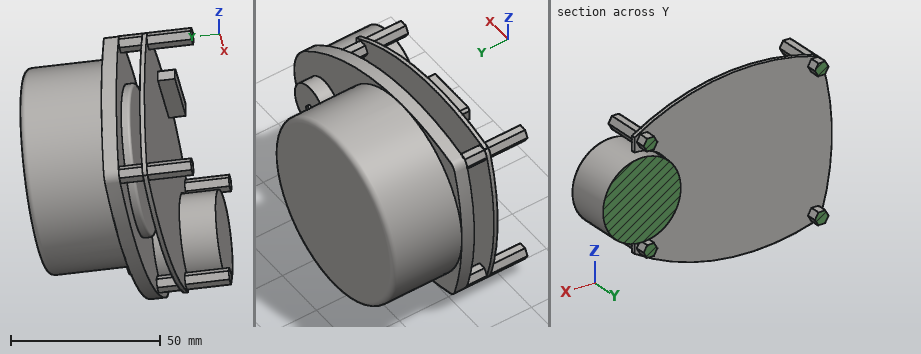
import cadquery as cq
import math


HOUSING_RADIUS = 35.0
HOUSING_LENGTH = 28.0
HOUSING_FILLET = 2.0
HUB_RADIUS = 26.0
HUB_LENGTH = 3.0
HUB_FILLET = 1.0

MOTOR_X = 45.5
MOTOR_RADIUS = 16.0
MOTOR_DEPTH = 27.0
MOTOR_BOSS_RADIUS = 9.0
MOTOR_BOSS_HEIGHT = 6.0
SHAFT_RADIUS = 1.0
SHAFT_PROTRUSION = 1.0

LEFT_ARC_RADIUS = 98.0
LEFT_ARC_CENTRE_X = LEFT_ARC_RADIUS - HOUSING_RADIUS
CORNER_RADIUS = 4.0
NOSE_RADIUS = 18.0
NOSE_TIP_X = MOTOR_X + NOSE_RADIUS
SIDE_ARC_CENTRE_X = -1.5
NOSE_RUN = MOTOR_X - SIDE_ARC_CENTRE_X
SIDE_ARC_RADIUS = (NOSE_RUN**2 + HOUSING_RADIUS**2 - NOSE_RADIUS**2) / (
    2 * (HOUSING_RADIUS - NOSE_RADIUS)
)
SIDE_ARC_CENTRE_Z = SIDE_ARC_RADIUS - HOUSING_RADIUS

PLATE_THICKNESS = 5.1
BOARD_GAP = 8.0
BOARD_THICKNESS = 1.6
FRONT_SPACER_LENGTH = 15.0
PLATE_FRONT_Y = -PLATE_THICKNESS
BOARD_BACK_Y = PLATE_FRONT_Y - BOARD_GAP
BOARD_FRONT_Y = BOARD_BACK_Y - BOARD_THICKNESS
SPACER_END_Y = BOARD_FRONT_Y - FRONT_SPACER_LENGTH

BOARD_RIGHT_X = 45.75
MOTOR_CLEARANCE = 0.25

SPACER_ACROSS_FLATS = 5.0
SPACER_ACROSS_CORNERS = SPACER_ACROSS_FLATS / math.cos(math.pi / 6)
LEFT_SPACER_X = -28.0
LEFT_SPACER_Z = 28.0
RIGHT_SPACER_X = 42.0
RIGHT_SPACER_Z = 20.0

CONNECTOR_LENGTH = 20.3
CONNECTOR_WIDTH = 4.9
CONNECTOR_HEIGHT = 5.8
CONNECTOR_CENTRE_Z = 27.5
CONNECTOR_CHAMFER = 1.0


def plane_at(y):
    """Sketch plane at position y: local x is X, local y is Z, and extrusion runs toward -Y."""
    return cq.Workplane("XZ", origin=(0, y, 0))


def cylinder(x, radius, y_back, y_front):
    return plane_at(y_back).center(x, 0).circle(radius).extrude(y_back - y_front)


def circle_crossing(centre_a, radius_a, centre_b, radius_b):
    """Crossing point of two circles on the left-hand side of the line from a to b."""
    dx = centre_b[0] - centre_a[0]
    dz = centre_b[1] - centre_a[1]
    distance = math.hypot(dx, dz)
    along = (distance**2 + radius_a**2 - radius_b**2) / (2 * distance)
    across = math.sqrt(radius_a**2 - along**2)
    x = centre_a[0] + (along * dx - across * dz) / distance
    z = centre_a[1] + (along * dz + across * dx) / distance
    return x, z


def outline_slab(y_back, thickness):
    """Slab bounded by the left arc, two side arcs and the nose arc, with rounded left corners."""
    side_centre = (SIDE_ARC_CENTRE_X, -SIDE_ARC_CENTRE_Z)
    corner_x, corner_z = circle_crossing(
        side_centre, SIDE_ARC_RADIUS, (LEFT_ARC_CENTRE_X, 0), LEFT_ARC_RADIUS
    )
    tangent_angle = math.atan2(SIDE_ARC_CENTRE_Z, NOSE_RUN)
    nose_x = MOTOR_X + NOSE_RADIUS * math.cos(tangent_angle)
    nose_z = NOSE_RADIUS * math.sin(tangent_angle)
    slab = (
        plane_at(y_back)
        .moveTo(corner_x, -corner_z)
        .threePointArc((-HOUSING_RADIUS, 0), (corner_x, corner_z))
        .threePointArc((SIDE_ARC_CENTRE_X, HOUSING_RADIUS), (nose_x, nose_z))
        .threePointArc((NOSE_TIP_X, 0), (nose_x, -nose_z))
        .threePointArc((SIDE_ARC_CENTRE_X, -HOUSING_RADIUS), (corner_x, -corner_z))
        .close()
        .extrude(thickness)
    )
    return slab.edges("|Y").edges("<X").fillet(CORNER_RADIUS)


def gauge():
    housing = cylinder(0, HOUSING_RADIUS, HOUSING_LENGTH, 0).faces(">Y").edges().fillet(HOUSING_FILLET)
    hub = cylinder(0, HUB_RADIUS, PLATE_FRONT_Y, PLATE_FRONT_Y - HUB_LENGTH)
    return housing.union(hub.faces("<Y").edges().fillet(HUB_FILLET))


def motor():
    shaft_end_y = MOTOR_BOSS_HEIGHT + SHAFT_PROTRUSION
    body = cylinder(MOTOR_X, MOTOR_RADIUS, PLATE_FRONT_Y, -MOTOR_DEPTH)
    boss = cylinder(MOTOR_X, MOTOR_BOSS_RADIUS, MOTOR_BOSS_HEIGHT, 0)
    shaft = cylinder(MOTOR_X, SHAFT_RADIUS, shaft_end_y, MOTOR_BOSS_HEIGHT)
    return body.union(boss).union(shaft)


def circuit_board():
    """Board with the plate's outline, cut straight at the right and cleared around the motor."""
    nose_length = NOSE_TIP_X - BOARD_RIGHT_X
    nose = (
        plane_at(BOARD_BACK_Y)
        .center(BOARD_RIGHT_X + nose_length / 2, 0)
        .rect(nose_length, 2 * HOUSING_RADIUS)
        .extrude(BOARD_THICKNESS)
    )
    clearance = cylinder(MOTOR_X, MOTOR_RADIUS + MOTOR_CLEARANCE, BOARD_BACK_Y, BOARD_FRONT_Y)
    return outline_slab(BOARD_BACK_Y, BOARD_THICKNESS).cut(nose).cut(clearance)


def spacers():
    centres = []
    for side in (-1, 1):
        centres.append((LEFT_SPACER_X, side * LEFT_SPACER_Z))
        centres.append((RIGHT_SPACER_X, side * RIGHT_SPACER_Z))
    return (
        plane_at(PLATE_FRONT_Y)
        .pushPoints(centres)
        .polygon(6, SPACER_ACROSS_CORNERS)
        .extrude(PLATE_FRONT_Y - SPACER_END_Y)
    )


def connector():
    body = (
        plane_at(BOARD_FRONT_Y)
        .center(0, CONNECTOR_CENTRE_Z)
        .rect(CONNECTOR_LENGTH, CONNECTOR_WIDTH)
        .extrude(CONNECTOR_HEIGHT)
    )
    return body.edges("|Y and (<X) and (>Z)").chamfer(CONNECTOR_CHAMFER)


result = outline_slab(0, PLATE_THICKNESS)
for component in (gauge(), motor(), spacers(), circuit_board(), connector()):
    result = result.union(component)